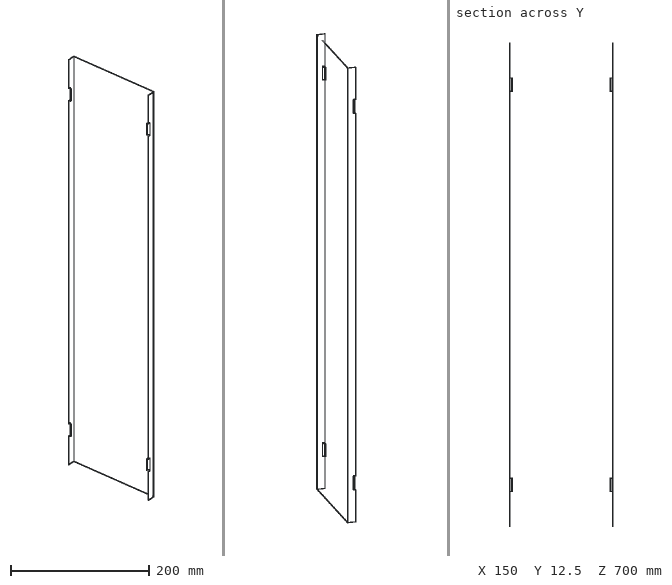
import cadquery as cq
import math

width = 150.0
depth = 12.5
height = 700.0
sheet = 1.0

tab_height = 19.5
relief_height = 1.0
notch_depth = 3.5
tab_offset = 3.15
tab_angle = math.radians(60)
tab_end_distance = 60.0

half_width = width / 2
tab_levels = (tab_end_distance, height - tab_end_distance)


def make_channel():
    """Flat panel at the back with a flange along each long side."""
    outer = cq.Workplane("XY").box(width, depth, height, centered=(True, False, False))
    inner = cq.Workplane("XY").box(
        width - 2 * sheet, depth - sheet, height, centered=(True, False, False)
    )
    return outer.cut(inner)


def make_notch(level):
    """Cutter through both flange edges, tall enough for a tab and its two reliefs."""
    notch_height = tab_height + 2 * relief_height
    return (
        cq.Workplane("XY")
        .box(width, notch_depth, notch_height, centered=(True, False, True))
        .translate((0, 0, level))
    )


def make_left_tab(level):
    """Joggled tab: leans inwards from the notch floor, then runs straight to the front."""
    front_bend_y = notch_depth - tab_offset / math.tan(tab_angle)
    bend_shift = sheet * math.tan(tab_angle / 2)
    return (
        cq.Workplane("XY", origin=(-half_width, 0, level - tab_height / 2))
        .moveTo(0, notch_depth)
        .lineTo(tab_offset, front_bend_y)
        .lineTo(tab_offset, 0)
        .lineTo(tab_offset + sheet, 0)
        .lineTo(tab_offset + sheet, front_bend_y + bend_shift)
        .lineTo(sheet, notch_depth + bend_shift)
        .lineTo(0, notch_depth + bend_shift)
        .close()
        .extrude(tab_height)
    )


result = make_channel()
for tab_level in tab_levels:
    left_tab = make_left_tab(tab_level)
    result = result.cut(make_notch(tab_level))
    result = result.union(left_tab).union(left_tab.mirror("YZ"))